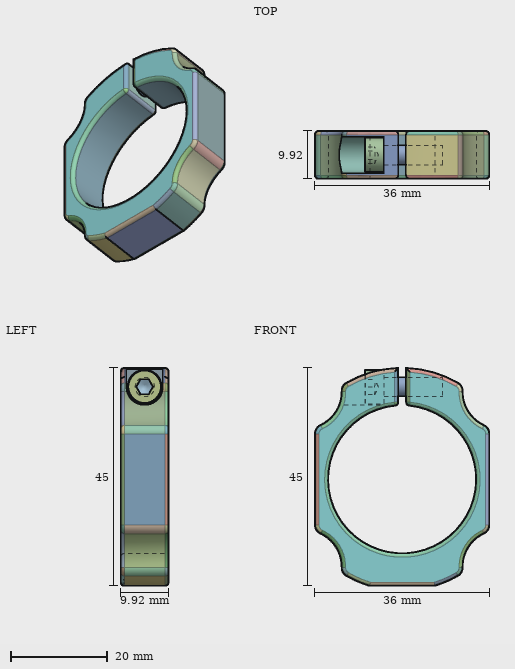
import cadquery as cq
import math

thickness = 9.92
width = 36.0
outer_radius = 23.0
base_height = 22.0
bore_radius = 15.25
gap = 1.6
edge_radius = 0.8

scallop_radius = 7.5
scallop_x = 20.0
scallop_z = 18.0
corner_radius = 2.0

screw_z = 19.1
shank_diameter = 4.0
shank_length = 12.0
head_diameter = 7.0
head_length = 4.0
head_edge = 0.15
head_seat_x = -3.75
hex_across_flats = 3.0
hex_depth = 2.0
socket_cone_depth = 0.8
pocket_width = 7.5

half_width = width / 2
half_thickness = thickness / 2
hex_across_corners = hex_across_flats / math.cos(math.pi / 6)


def y_cylinder(radius, x=0.0, z=0.0):
    """Cylinder along Y through the full thickness."""
    return (
        cq.Workplane("XZ").center(x, z).circle(radius)
        .extrude(half_thickness, both=True)
    )


def x_cylinder(diameter, x_start, length):
    """Cylinder on the screw axis, from x_start toward +X."""
    return (
        cq.Workplane("YZ", origin=(x_start, 0, screw_z))
        .circle(diameter / 2).extrude(length)
    )


def ring_blank():
    """Round disc trimmed by the two flat sides and the flat foot, with four scallops."""
    trim_height = base_height + outer_radius
    trim = cq.Workplane("XY").box(width, thickness, trim_height)
    trim = trim.translate((0, 0, trim_height / 2 - base_height))
    blank = y_cylinder(outer_radius).intersect(trim)
    for side_x in (-1, 1):
        for side_z in (-1, 1):
            blank = blank.cut(y_cylinder(scallop_radius, side_x * scallop_x, side_z * scallop_z))
    above_foot = cq.selectors.BoxSelector(
        (-width, -thickness, corner_radius - base_height),
        (width, thickness, outer_radius),
    )
    scallop_ends = blank.edges("|Y").edges(above_foot)
    return scallop_ends.fillet(corner_radius)


def slit_ring():
    """Ring with bore and slit, its face edges and inner slit corners rounded."""
    slit = cq.Workplane("XY").box(gap, thickness, outer_radius, centered=(True, True, False))
    ring = ring_blank().cut(y_cylinder(bore_radius)).cut(slit)
    slit_corners = cq.selectors.BoxSelector(
        (-gap, -thickness, bore_radius - gap),
        (gap, thickness, bore_radius + gap),
    )
    ring = ring.edges("|Y").edges(slit_corners).fillet(edge_radius)
    return ring.faces("<Y or >Y").edges().fillet(edge_radius)


def head_pocket():
    """U-shaped recess for the screw head, open at the top and toward -X."""
    length = half_width + head_seat_x
    round_bottom = x_cylinder(pocket_width, -half_width, length)
    opening = cq.Workplane("XY").box(
        length, pocket_width, outer_radius - screw_z, centered=(False, True, False)
    )
    return round_bottom.union(opening.translate((-half_width, 0, screw_z)))


def clamp_ring():
    shank_hole = x_cylinder(shank_diameter, head_seat_x, shank_length)
    return slit_ring().cut(head_pocket()).cut(shank_hole)


def hex_socket():
    """Hexagonal recess with a conical bottom."""
    outer_end_x = head_seat_x - head_length
    total_depth = hex_depth + socket_cone_depth
    hexagon = (
        cq.Workplane("YZ", origin=(outer_end_x, 0, screw_z))
        .polygon(6, hex_across_corners).extrude(total_depth)
    )
    pointed_rod = (
        cq.Workplane("XZ")
        .moveTo(outer_end_x, screw_z)
        .lineTo(outer_end_x, screw_z + hex_across_corners / 2)
        .lineTo(outer_end_x + hex_depth, screw_z + hex_across_corners / 2)
        .lineTo(outer_end_x + total_depth, screw_z)
        .close()
        .revolve(360, (0, screw_z, 0), (1, screw_z, 0))
    )
    return hexagon.intersect(pointed_rod)


def clamp_screw():
    head = x_cylinder(head_diameter, head_seat_x - head_length, head_length)
    head = head.faces("<X").chamfer(head_edge)
    shank = x_cylinder(shank_diameter, head_seat_x, shank_length)
    return head.union(shank).cut(hex_socket())


ring = clamp_ring()
screw = clamp_screw()
result = cq.Compound.makeCompound([ring.val(), screw.val()])